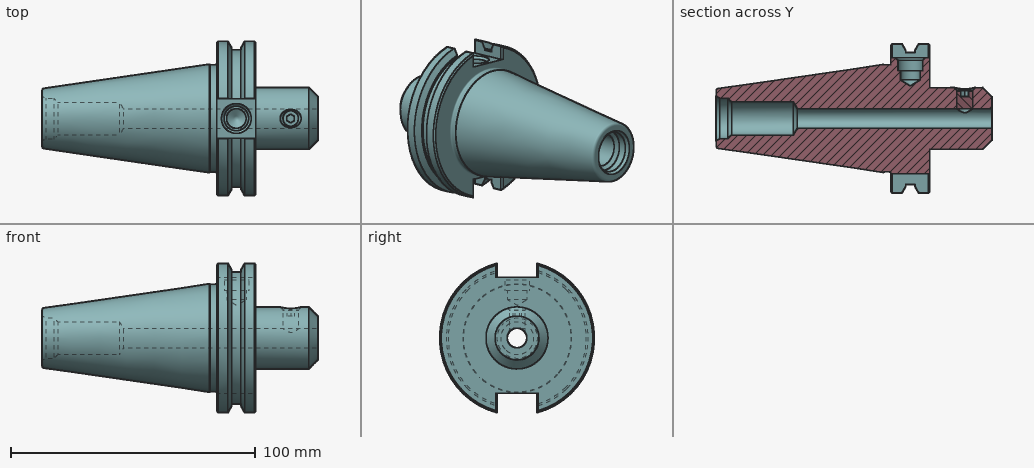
import cadquery as cq
import math

TOTAL_LENGTH = 112.7
GAUGE_X = 68.3
FLANGE_START = 71.3
FLANGE_END = 87.4
FLANGE_CENTER = (FLANGE_START + FLANGE_END) / 2

GAUGE_RADIUS = 44.4 / 2
TAPER_SLOPE = 7 / 24 / 2
SMALL_END_RADIUS = GAUGE_RADIUS - TAPER_SLOPE * GAUGE_X
SMALL_END_FILLET = 1.1
NECK_RADIUS = 44.0 / 2
NECK_STEP_LENGTH = 0.3
NECK_FILLET = 0.6

FLANGE_RADIUS = 63.2 / 2
RIM_CHAMFER = 0.7
GROOVE_BOTTOM_RADIUS = 28.2
GROOVE_BOTTOM_WIDTH = 3.7
GROOVE_FLANK_DEPTH = 2.7
GROOVE_FLANK_WIDTH = GROOVE_FLANK_DEPTH * math.tan(math.radians(30))

SLOT_WIDTH = 16.0
UPPER_SLOT_FLOOR = 24.8
LOWER_SLOT_FLOOR = 22.7
SLOT_FACE_CHAMFER = 0.7
SLOT_RIM_CHAMFER = 0.3

SHANK_RADIUS = 25.4 / 2
SHANK_CHAMFER = 3.7

ENTRY_RADIUS = 18.1 / 2
ENTRY_DEPTH = 1.5
THREAD_RADIUS = 16.5 / 2
THREAD_END = 4.8
PILOT_RADIUS = 13.4 / 2
PILOT_END = 31.6
THROUGH_RADIUS = 7.9 / 2
DRILL_HALF_ANGLE = math.radians(59)

FLOOR_HOLE_MOUTH_RADIUS = 12.2 / 2
FLOOR_HOLE_RADIUS = 10.0 / 2
FLOOR_HOLE_DEPTH = 5.3
FLOOR_HOLE_TIP_RADIUS = 8.0 / 2
FLOOR_HOLE_TIP_START = 9.0

SCREW_X = 101.5
SCREW_RADIUS = 6.3 / 2
SCREW_TOP = 11.3
COUNTERSINK_RADIUS = 4.3
HEX_ACROSS_CORNERS = 3.5
HEX_DEPTH = 2.3


def make_blank():
    """Revolved taper, neck, flange and shank."""
    groove_left = FLANGE_CENTER - GROOVE_BOTTOM_WIDTH / 2
    groove_right = FLANGE_CENTER + GROOVE_BOTTOM_WIDTH / 2
    flank_bottom = FLANGE_RADIUS - GROOVE_FLANK_DEPTH
    rim_edge = FLANGE_RADIUS - RIM_CHAMFER
    profile = [
        (0, 0),
        (0, SMALL_END_RADIUS),
        (GAUGE_X, GAUGE_RADIUS),
        (GAUGE_X + NECK_STEP_LENGTH, NECK_RADIUS),
        (FLANGE_START, NECK_RADIUS),
        (FLANGE_START, rim_edge),
        (FLANGE_START + RIM_CHAMFER, FLANGE_RADIUS),
        (groove_left - GROOVE_FLANK_WIDTH, FLANGE_RADIUS),
        (groove_left, flank_bottom),
        (groove_left, GROOVE_BOTTOM_RADIUS),
        (groove_right, GROOVE_BOTTOM_RADIUS),
        (groove_right, flank_bottom),
        (groove_right + GROOVE_FLANK_WIDTH, FLANGE_RADIUS),
        (FLANGE_END - RIM_CHAMFER, FLANGE_RADIUS),
        (FLANGE_END, rim_edge),
        (FLANGE_END, SHANK_RADIUS),
        (TOTAL_LENGTH - SHANK_CHAMFER, SHANK_RADIUS),
        (TOTAL_LENGTH, SHANK_RADIUS - SHANK_CHAMFER),
        (TOTAL_LENGTH, 0),
    ]
    blank = cq.Workplane("XY").polyline(profile).close().revolve(360, (0, 0, 0), (1, 0, 0))
    blank = blank.faces("<X").edges().fillet(SMALL_END_FILLET)
    neck_corner = cq.selectors.BoxSelector(
        (FLANGE_START - 0.1, -FLANGE_RADIUS, -FLANGE_RADIUS),
        (FLANGE_START + 0.1, FLANGE_RADIUS, FLANGE_RADIUS),
        boundingbox=True,
    )
    inner_circle = cq.selectors.RadiusNthSelector(0)
    return blank.edges(neck_corner).edges(inner_circle).fillet(NECK_FILLET)


def make_drive_slot(floor):
    """Cutter for a slot above the given floor height, widened at both flange faces and the rim."""
    half_width = SLOT_WIDTH / 2
    face_half_width = half_width + SLOT_FACE_CHAMFER
    plan = [
        (FLANGE_START, -face_half_width),
        (FLANGE_START + SLOT_FACE_CHAMFER, -half_width),
        (FLANGE_END - SLOT_FACE_CHAMFER, -half_width),
        (FLANGE_END, -face_half_width),
        (FLANGE_END, face_half_width),
        (FLANGE_END - SLOT_FACE_CHAMFER, half_width),
        (FLANGE_START + SLOT_FACE_CHAMFER, half_width),
        (FLANGE_START, face_half_width),
    ]
    height = FLANGE_RADIUS - floor
    slot = cq.Workplane("XY").workplane(offset=floor).polyline(plan).close().extrude(height)

    flare_bottom = math.sqrt(FLANGE_RADIUS**2 - half_width**2) - SLOT_RIM_CHAMFER
    flare_half_width = half_width + FLANGE_RADIUS - flare_bottom
    flare = (
        cq.Workplane("YZ")
        .workplane(offset=FLANGE_START)
        .polyline([
            (-half_width, flare_bottom),
            (half_width, flare_bottom),
            (flare_half_width, FLANGE_RADIUS),
            (-flare_half_width, FLANGE_RADIUS),
        ])
        .close()
        .extrude(FLANGE_END - FLANGE_START)
    )
    return slot.union(flare)


def make_axial_bore():
    """Entry cone, threaded length, pilot bore with drill point, and through hole."""
    thread_cone = THREAD_RADIUS - PILOT_RADIUS
    drill_cone = (PILOT_RADIUS - THROUGH_RADIUS) / math.tan(DRILL_HALF_ANGLE)
    profile = [
        (0, 0),
        (0, ENTRY_RADIUS),
        (ENTRY_DEPTH, THREAD_RADIUS),
        (THREAD_END, THREAD_RADIUS),
        (THREAD_END + thread_cone, PILOT_RADIUS),
        (PILOT_END, PILOT_RADIUS),
        (PILOT_END + drill_cone, THROUGH_RADIUS),
        (TOTAL_LENGTH, THROUGH_RADIUS),
        (TOTAL_LENGTH, 0),
    ]
    return cq.Workplane("XY").polyline(profile).close().revolve(360, (0, 0, 0), (1, 0, 0))


def make_floor_hole():
    """Chamfered hole with a ledge and a smaller conical-ended drilling."""
    mouth_depth = FLOOR_HOLE_MOUTH_RADIUS - FLOOR_HOLE_RADIUS
    tip_depth = FLOOR_HOLE_TIP_START + FLOOR_HOLE_TIP_RADIUS / math.tan(DRILL_HALF_ANGLE)
    profile = [
        (0, 0),
        (FLOOR_HOLE_MOUTH_RADIUS, 0),
        (FLOOR_HOLE_RADIUS, -mouth_depth),
        (FLOOR_HOLE_RADIUS, -FLOOR_HOLE_DEPTH),
        (FLOOR_HOLE_TIP_RADIUS, -FLOOR_HOLE_DEPTH),
        (FLOOR_HOLE_TIP_RADIUS, -FLOOR_HOLE_TIP_START),
        (0, -tip_depth),
    ]
    hole = cq.Workplane("XZ").polyline(profile).close().revolve(360, (0, 0, 0), (0, 1, 0))
    return hole.translate((FLANGE_CENTER, 0, UPPER_SLOT_FLOOR))


def make_screw_hole():
    """Radial hole from the axis to the shank surface, with a 90-degree countersink."""
    countersink_bottom = SHANK_RADIUS - (COUNTERSINK_RADIUS - SCREW_RADIUS)
    profile = [
        (0, 0),
        (SCREW_RADIUS, 0),
        (SCREW_RADIUS, countersink_bottom),
        (COUNTERSINK_RADIUS, SHANK_RADIUS),
        (0, SHANK_RADIUS),
    ]
    hole = cq.Workplane("XZ").polyline(profile).close().revolve(360, (0, 0, 0), (0, 1, 0))
    return hole.translate((SCREW_X, 0, 0))


def make_holder():
    """Tool holder with every cut applied."""
    lower_slot = make_drive_slot(LOWER_SLOT_FLOOR).rotate((0, 0, 0), (1, 0, 0), 180)
    return (
        make_blank()
        .cut(make_drive_slot(UPPER_SLOT_FLOOR))
        .cut(lower_slot)
        .cut(make_axial_bore())
        .cut(make_floor_hole())
        .cut(make_screw_hole())
    )


def make_set_screw():
    """Hex-socket set screw whose tip stops just outside the axial bore."""
    screw = (
        cq.Workplane("XY")
        .workplane(offset=THROUGH_RADIUS)
        .circle(SCREW_RADIUS)
        .extrude(SCREW_TOP - THROUGH_RADIUS)
    )
    socket = (
        cq.Workplane("XY")
        .workplane(offset=SCREW_TOP - HEX_DEPTH)
        .polygon(6, HEX_ACROSS_CORNERS)
        .extrude(HEX_DEPTH)
        .rotate((0, 0, 0), (0, 0, 1), 90)
    )
    return screw.cut(socket).translate((SCREW_X, 0, 0))


holder = make_holder()
set_screw = make_set_screw()
result = cq.Compound.makeCompound([holder.val(), set_screw.val()])